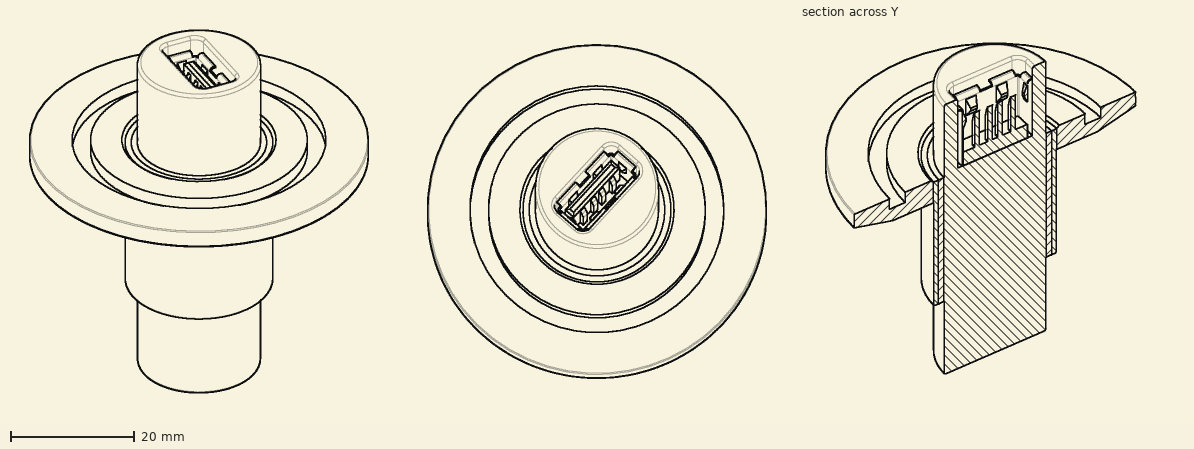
import cadquery as cq
import math

total_height = 57.6
flange_top = 42.6
rim_bottom = 39.6
flange_bottom = 37.6
sleeve_bottom = 15.6

flange_diameter = 55.0
flange_cone_angle = 15.0
flange_edge_fillet = 0.2
groove_outer_diameter = 41.2
groove_inner_diameter = 35.2
groove_depth = 2.2
bore_chamfer = 0.5

sleeve_diameter = 24.0
filler_diameter = 22.0
sleeve_edge_fillet = 0.35
sleeve_top = flange_top - bore_chamfer

plug_diameter = 20.0
plug_edge_fillet = 0.5

recess_length = 14.5
recess_width = 7.2
recess_corner_radius = 1.55
recess_rim_fillet = 0.5

shell_inner_length = 12.4
shell_inner_width = 5.1
shell_wall = 0.3
shell_inner_corner_radius = 0.2
shell_height = 11.5
shell_rim_depth = 3.15
shell_outer_length = shell_inner_length + 2 * shell_wall
shell_outer_width = shell_inner_width + 2 * shell_wall
shell_outer_corner_radius = shell_inner_corner_radius + shell_wall
shell_rim = total_height - shell_rim_depth
shell_bottom = shell_rim - shell_height

lip_radius = 0.7
long_lip_span = 11.4
long_lip_notch = 2.35
long_lip_length = (long_lip_span - long_lip_notch) / 2
long_lip_offset = (long_lip_span + long_lip_notch) / 4
short_lip_length = 3.9

bump_base_height = 3.45
bump_crest_height = 0.6
bump_top_gap = 0.35
long_bump_base_width = 2.0
long_bump_crest_width = 1.25
back_bump_rise = 0.65
front_bump_rise = 0.85
long_bump_offset = 3.0
short_bump_base_width = 1.65
short_bump_crest_width = 0.85
short_bump_rise = 0.6

insert_base_height = 2.9
tongue_length = 11.1
tongue_width = 1.85
tongue_offset = 1.0
tongue_tip_inset = 0.5
tongue_tip_taper_height = 0.4
tongue_tip_depth = 3.15
insert_floor = shell_bottom + insert_base_height
tongue_tip = total_height - tongue_tip_depth

contact_width = 1.0
contact_rise = 0.7
contact_ramp_top_gap = 1.15
contact_bend_height = 0.85
contact_ramp_height = 2.3
contact_inner_offset = 1.0
contact_outer_offset = 3.5


def cylinder(diameter, bottom, top):
    return cq.Workplane("XY").workplane(offset=bottom).circle(diameter / 2).extrude(top - bottom)


def box(length, width, bottom, top):
    return cq.Workplane("XY").workplane(offset=bottom).rect(length, width).extrude(top - bottom)


def rounded_box(length, width, radius, bottom, top):
    return box(length, width, bottom, top).edges("|Z").fillet(radius)


def make_flange():
    rim_radius = flange_diameter / 2
    bore_radius = sleeve_diameter / 2
    cone_run = (rim_bottom - flange_bottom) / math.tan(math.radians(flange_cone_angle))
    profile = [
        (bore_radius, flange_bottom),
        (rim_radius - cone_run, flange_bottom),
        (rim_radius, rim_bottom),
        (rim_radius, flange_top),
        (groove_outer_diameter / 2, flange_top),
        (groove_outer_diameter / 2, flange_top - groove_depth),
        (groove_inner_diameter / 2, flange_top - groove_depth),
        (groove_inner_diameter / 2, flange_top),
        (bore_radius + bore_chamfer, flange_top),
        (bore_radius, flange_top - bore_chamfer),
    ]
    flange = cq.Workplane("XZ").polyline(profile).close().revolve(360, (0, 0, 0), (0, 1, 0))
    rim_edges = cq.selectors.RadiusNthSelector(-1)
    flange = flange.faces(">Z").edges(rim_edges).fillet(flange_edge_fillet)
    return flange.edges(rim_edges).fillet(flange_edge_fillet)


def make_sleeve():
    outside = cylinder(sleeve_diameter, sleeve_bottom, sleeve_top)
    outside = outside.faces("<Z").edges().fillet(sleeve_edge_fillet)
    return outside.cut(cylinder(filler_diameter, sleeve_bottom, sleeve_top))


def make_filler_ring():
    outside = cylinder(filler_diameter, sleeve_bottom, sleeve_top)
    return outside.cut(cylinder(plug_diameter, sleeve_bottom, sleeve_top))


def make_plug_housing():
    plug = cylinder(plug_diameter, 0, total_height).edges().fillet(plug_edge_fillet)
    recess = rounded_box(recess_length, recess_width, recess_corner_radius, shell_bottom, total_height)
    plug = plug.cut(recess)
    mouth_edges = cq.selectors.BoxSelector(
        (-recess_length, -recess_width / 2 - recess_rim_fillet, total_height - recess_rim_fillet / 2),
        (recess_length, recess_width / 2 + recess_rim_fillet, total_height + recess_rim_fillet / 2),
    )
    return plug.faces(">Z").edges(mouth_edges).fillet(recess_rim_fillet)


def make_lip(length, wall_distance, reach):
    """Lip that curls toward +Y from the shell face at wall_distance and runs flat as far as reach."""
    bend_end = wall_distance + lip_radius
    under_radius = lip_radius - shell_wall
    diagonal = math.sqrt(0.5)
    return (
        cq.Workplane("YZ")
        .moveTo(wall_distance, shell_rim)
        .threePointArc(
            (bend_end - lip_radius * diagonal, shell_rim + lip_radius * diagonal),
            (bend_end, shell_rim + lip_radius),
        )
        .lineTo(reach, shell_rim + lip_radius)
        .lineTo(reach, shell_rim + under_radius)
        .lineTo(bend_end, shell_rim + under_radius)
        .threePointArc(
            (bend_end - under_radius * diagonal, shell_rim + under_radius * diagonal),
            (bend_end - under_radius, shell_rim),
        )
        .close()
        .extrude(length / 2, both=True)
    )


def make_bump(base_width, crest_width, rise, wall_distance):
    """Tapered bump that rises toward -Y from a wall whose inner face is at wall_distance."""
    center_height = shell_rim - bump_top_gap - bump_base_height / 2
    return (
        cq.Workplane("XZ", origin=(0, wall_distance, center_height))
        .rect(base_width, bump_base_height)
        .workplane(offset=rise)
        .rect(crest_width, bump_crest_height)
        .loft(ruled=True)
    )


def make_shell():
    shell = rounded_box(
        shell_outer_length, shell_outer_width, shell_outer_corner_radius, shell_bottom, shell_rim
    )
    shell = shell.cut(
        rounded_box(shell_inner_length, shell_inner_width, shell_inner_corner_radius, shell_bottom, shell_rim)
    )
    long_wall = shell_inner_width / 2
    short_wall = shell_inner_length / 2
    long_lip = make_lip(long_lip_length, long_wall, recess_width / 2)
    short_lip = make_lip(short_lip_length, short_wall, recess_length / 2)
    short_bump = make_bump(short_bump_base_width, short_bump_crest_width, short_bump_rise, short_wall)
    for turn, rise in ((0, back_bump_rise), (180, front_bump_rise)):
        long_bump = make_bump(long_bump_base_width, long_bump_crest_width, rise, long_wall)
        for side in (-1, 1):
            lip = long_lip.translate((side * long_lip_offset, 0, 0))
            bump = long_bump.translate((side * long_bump_offset, 0, 0))
            shell = shell.union(lip.rotate((0, 0, 0), (0, 0, 1), turn))
            shell = shell.union(bump.rotate((0, 0, 0), (0, 0, 1), turn))
        shell = shell.union(short_lip.rotate((0, 0, 0), (0, 0, 1), turn + 90))
        shell = shell.union(short_bump.rotate((0, 0, 0), (0, 0, 1), turn + 90))
    return shell


def make_contact():
    """Ridge on the -Y face of the tongue, with a bent ramp at its upper end."""
    face = tongue_offset - tongue_width / 2
    ramp_top = tongue_tip - contact_ramp_top_gap
    profile = [
        (face, insert_floor),
        (face, ramp_top),
        (face - contact_rise / 2, ramp_top - contact_bend_height),
        (face - contact_rise, ramp_top - contact_ramp_height),
        (face - contact_rise, insert_floor),
    ]
    return cq.Workplane("YZ").polyline(profile).close().extrude(contact_width / 2, both=True)


def make_tongue():
    shoulder = tongue_tip - tongue_tip_taper_height
    taper = (
        cq.Workplane("XY", origin=(0, 0, shoulder))
        .rect(tongue_length, tongue_width)
        .workplane(offset=tongue_tip_taper_height)
        .rect(tongue_length - 2 * tongue_tip_inset, tongue_width - 2 * tongue_tip_inset)
        .loft(ruled=True)
    )
    tongue = box(tongue_length, tongue_width, insert_floor, shoulder).union(taper)
    return tongue.translate((0, tongue_offset, 0))


def make_insert():
    insert = rounded_box(
        shell_inner_length, shell_inner_width, shell_inner_corner_radius, shell_bottom, insert_floor
    )
    insert = insert.union(make_tongue())
    for offset in (contact_inner_offset, contact_outer_offset):
        for side in (-1, 1):
            insert = insert.union(make_contact().translate((side * offset, 0, 0)))
    return insert


flange = make_flange()
sleeve = make_sleeve()
filler_ring = make_filler_ring()
plug_housing = make_plug_housing()
shell = make_shell()
insert = make_insert()

result = cq.Compound.makeCompound(
    [flange.val(), sleeve.val(), filler_ring.val(), plug_housing.val(), shell.val(), insert.val()]
)